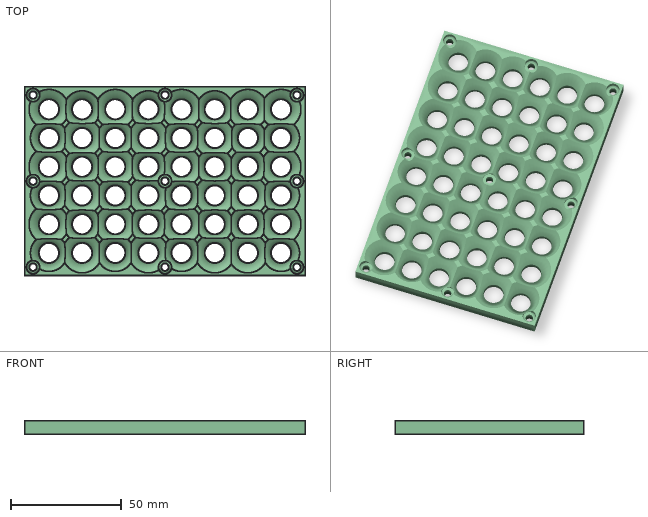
import cadquery as cq

length = 127.0
width = 85.5
thickness = 6.2

grid_length = 120.0
grid_width = 78.0
columns = 8
rows = 6
column_pitch = grid_length / columns
row_pitch = grid_width / rows

hole_diameter = 9.0
wide_cup_diameter = 18.0
wide_cup_hole_height = 2.3
narrow_cup_diameter = 16.8
narrow_cup_hole_height = 1.9

cup_layout = [
    "WNWNWNWW",
    "NWNWNWNN",
    "WNWNWNNW",
    "NWNWNWWN",
    "WNWNWNNW",
    "NWNWNWWN",
]

screws_per_side = 3
screw_inset = 3.8
screw_diameter = 3.3
counterbore_diameter = 6.0
counterbore_depth = 2.0
screw_column_pitch = (length - 2 * screw_inset) / (screws_per_side - 1)
screw_row_pitch = (width - 2 * screw_inset) / (screws_per_side - 1)


def centred_grid(x_pitch, y_pitch, x_count, y_count):
    """Points of a grid centred on the origin, row by row from +Y to -Y."""
    return [
        [
            ((column - (x_count - 1) / 2) * x_pitch, ((y_count - 1) / 2 - row) * y_pitch)
            for column in range(x_count)
        ]
        for row in range(y_count)
    ]


def cup_cutter(top_diameter, hole_height):
    """Solid of revolution that cuts one funnel and its through hole."""
    hole_radius = hole_diameter / 2
    return (
        cq.Workplane("XZ")
        .lineTo(hole_radius, 0)
        .lineTo(hole_radius, hole_height)
        .lineTo(top_diameter / 2, thickness)
        .lineTo(0, thickness)
        .close()
        .revolve(360, (0, 0, 0), (0, 1, 0))
        .val()
    )


def cut_cups(plate):
    """Cut a wide or narrow cup at every point of the cup grid."""
    cutters = {
        "W": cup_cutter(wide_cup_diameter, wide_cup_hole_height),
        "N": cup_cutter(narrow_cup_diameter, narrow_cup_hole_height),
    }
    cup_rows = centred_grid(column_pitch, row_pitch, columns, rows)
    for kinds, centers in zip(cup_layout, cup_rows):
        for kind, (x, y) in zip(kinds, centers):
            plate = plate.cut(cutters[kind].translate(cq.Vector(x, y, 0)))
    return plate


def cut_screw_holes(plate):
    """Cut the grid of screw holes with their counterbores."""
    screw_rows = centred_grid(screw_column_pitch, screw_row_pitch, screws_per_side, screws_per_side)
    centers = [center for screw_row in screw_rows for center in screw_row]
    through_holes = (
        cq.Workplane("XY").pushPoints(centers).circle(screw_diameter / 2).extrude(thickness)
    )
    counterbores = (
        cq.Workplane("XY", origin=(0, 0, thickness))
        .pushPoints(centers)
        .circle(counterbore_diameter / 2)
        .extrude(-counterbore_depth)
    )
    return plate.cut(through_holes).cut(counterbores)


plate = cq.Workplane("XY").box(length, width, thickness, centered=(True, True, False))
result = cut_screw_holes(cut_cups(plate))